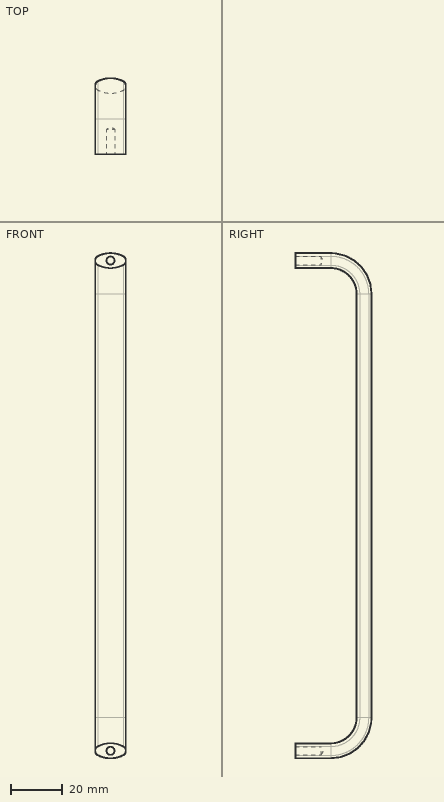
import cadquery as cq
import math

height = 198.0
depth = 29.9
bar_width = 12.0
bar_thickness = 6.0

bend_radius = 13.0
edge_radius = 2.0

hole_diameter = 3.2
hole_depth = 9.9
drill_point_angle = 118.0

foot_y = -depth / 2
grip_y = depth / 2 - bar_thickness / 2
foot_z = height / 2 - bar_thickness / 2


def oval_section(workplane):
    """Four-arc oval with its broad faces tangent to the small edge arcs."""
    half_width = bar_width / 2
    half_thickness = bar_thickness / 2
    edge_centre = half_width - edge_radius
    face_radius = (edge_centre**2 + half_thickness**2 - edge_radius**2) / (
        2 * (half_thickness - edge_radius)
    )
    angle = math.atan2(face_radius - half_thickness, edge_centre)
    joint_x = edge_centre + edge_radius * math.cos(angle)
    joint_y = edge_radius * math.sin(angle)
    return (
        workplane.moveTo(joint_x, joint_y)
        .threePointArc((0, half_thickness), (-joint_x, joint_y))
        .threePointArc((-half_width, 0), (-joint_x, -joint_y))
        .threePointArc((0, -half_thickness), (joint_x, -joint_y))
        .threePointArc((half_width, 0), (joint_x, joint_y))
        .close()
    )


def bar_path():
    """Centreline: foot, bend, upright grip, bend, foot."""
    bend_y = grip_y - bend_radius
    bend_z = foot_z - bend_radius
    mid_y = bend_y + bend_radius * math.sqrt(0.5)
    mid_z = bend_z + bend_radius * math.sqrt(0.5)
    return (
        cq.Workplane("YZ")
        .moveTo(foot_y, -foot_z)
        .lineTo(bend_y, -foot_z)
        .threePointArc((mid_y, -mid_z), (grip_y, -bend_z))
        .lineTo(grip_y, bend_z)
        .threePointArc((mid_y, mid_z), (bend_y, foot_z))
        .lineTo(foot_y, foot_z)
    )


def foot_hole(z):
    """Blind drilled bore with a conical bottom, running into a foot from its end face."""
    radius = hole_diameter / 2
    tip_length = radius / math.tan(math.radians(drill_point_angle / 2))
    return (
        cq.Workplane("XY", origin=(0, foot_y, z))
        .lineTo(radius, 0)
        .lineTo(radius, hole_depth)
        .lineTo(0, hole_depth + tip_length)
        .close()
        .revolve(360, (0, 0, 0), (0, 1, 0))
    )


foot_plane = cq.Workplane("XZ", origin=(0, foot_y, -foot_z))
result = oval_section(foot_plane).sweep(bar_path())
for hole_z in (-foot_z, foot_z):
    result = result.cut(foot_hole(hole_z))